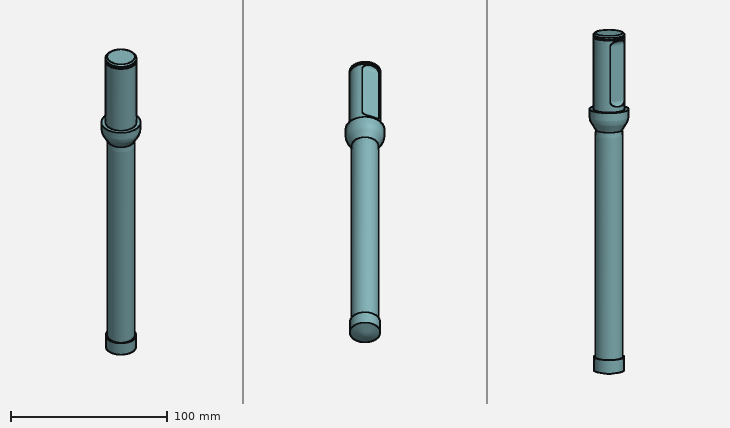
import cadquery as cq
import math

TOTAL_LENGTH = 224.0
POINT_HEIGHT = 2.7
HEAD_TOP = 11.5
SHAFT_TOP = 156.8
NECK_TOP = 160.4
COLLAR_BOTTOM = 169.1
COLLAR_TOP = 174.0

HEAD_DIAMETER = 19.5
SHAFT_DIAMETER = 17.7
NECK_DIAMETER = 17.0
COLLAR_DIAMETER = 25.0
SHANK_DIAMETER = 20.0

FLARE_BLEND_LENGTH = 2.0

SHANK_CHAMFER = 1.1
GROOVE_TOP_DROP = 2.2
GROOVE_WIDTH = 0.7
GROOVE_DEPTH = 0.11

FLAT_DEPTH = 2.0
FLAT_END_RADIUS = 4.3
FLAT_TOP_DROP = 3.0
FLAT_BOTTOM_GAP = 2.7


def revolve_profile(profile):
    """Turn a closed half-section (radius, height) around the Z axis."""
    return profile.close().revolve(360, (0, 0, 0), (0, 1, 0))


def make_head():
    """Cylindrical cutting head with a shallow conical point."""
    radius = HEAD_DIAMETER / 2
    profile = (
        cq.Workplane("XZ")
        .moveTo(0, 0)
        .lineTo(radius, POINT_HEIGHT)
        .lineTo(radius, HEAD_TOP)
        .lineTo(0, HEAD_TOP)
    )
    return revolve_profile(profile)


def make_turned_holder():
    """Shaft, tapered neck, flared collar and chamfered shank as one turned shape."""
    shaft_radius = SHAFT_DIAMETER / 2
    neck_radius = NECK_DIAMETER / 2
    collar_radius = COLLAR_DIAMETER / 2
    shank_radius = SHANK_DIAMETER / 2

    flare_corner_height = COLLAR_BOTTOM - FLARE_BLEND_LENGTH
    flare_angle = math.atan2(collar_radius - neck_radius, flare_corner_height - NECK_TOP)
    blend_radius = FLARE_BLEND_LENGTH / math.tan(flare_angle / 2)

    def blend_point(angle):
        return (
            collar_radius - blend_radius * (1 - math.cos(angle)),
            COLLAR_BOTTOM - blend_radius * math.sin(angle),
        )

    profile = (
        cq.Workplane("XZ")
        .moveTo(0, HEAD_TOP)
        .lineTo(shaft_radius, HEAD_TOP)
        .lineTo(shaft_radius, SHAFT_TOP)
        .lineTo(neck_radius, NECK_TOP)
        .lineTo(*blend_point(flare_angle))
        .threePointArc(blend_point(flare_angle / 2), (collar_radius, COLLAR_BOTTOM))
        .lineTo(collar_radius, COLLAR_TOP)
        .lineTo(shank_radius, COLLAR_TOP)
        .lineTo(shank_radius, TOTAL_LENGTH - SHANK_CHAMFER)
        .lineTo(shank_radius - SHANK_CHAMFER, TOTAL_LENGTH)
        .lineTo(0, TOTAL_LENGTH)
    )
    return revolve_profile(profile)


def make_groove_cutter():
    """Ring that cuts the shallow groove near the top of the shank."""
    return (
        cq.Workplane("XY", origin=(0, 0, TOTAL_LENGTH - GROOVE_TOP_DROP - GROOVE_WIDTH))
        .circle(COLLAR_DIAMETER / 2)
        .circle(SHANK_DIAMETER / 2 - GROOVE_DEPTH)
        .extrude(GROOVE_WIDTH)
    )


def make_flat_cutter():
    """Block that cuts the flat, with rounded inner edges at both ends."""
    bottom = COLLAR_TOP + FLAT_BOTTOM_GAP
    height = TOTAL_LENGTH - FLAT_TOP_DROP - bottom
    flat_y = SHANK_DIAMETER / 2 - FLAT_DEPTH
    return (
        cq.Workplane("XY", origin=(0, flat_y, bottom))
        .box(COLLAR_DIAMETER, COLLAR_DIAMETER, height, centered=(True, False, False))
        .edges("<Y and |X")
        .fillet(FLAT_END_RADIUS)
    )


head = make_head()
holder = make_turned_holder().cut(make_groove_cutter()).cut(make_flat_cutter())

result = cq.Compound.makeCompound([head.val(), holder.val()])